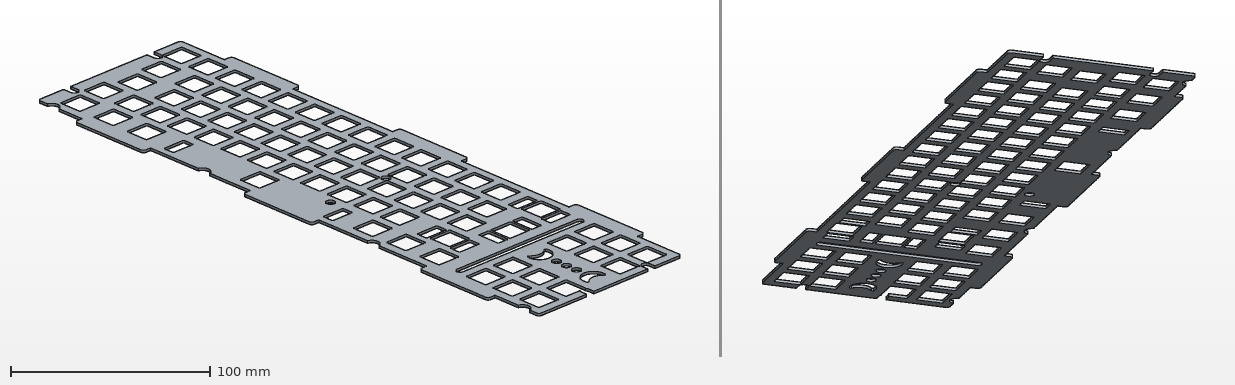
import cadquery as cq

plate_length = 358.5
plate_width = 100.5
plate_thickness = 1.5
corner_radius = 1.8
half_length = plate_length / 2
half_width = plate_width / 2

overall_width = 110.5
tab_length = 49.0
outer_tab_x = 123.5
middle_tab_x = -3.0

letter_block_length = 285.8
pitch = letter_block_length / 15
layout_units = 18.5
backspace_units = 14
enter_units = 14.375
right_shift_units = 13.625
space_bar_units = 7.5
pad_middle_units = 17
layout_x = 0.1
layout_y = 0.3
key_size = 14.0
key_corner_radius = 0.5

stabilizer_width = 6.8
stabilizer_drop = 1.0
short_key_spacing = 12.0
space_bar_spacing = 57.0

divider_units = 15.25
divider_width = 4.3
divider_length = 88.5

relief_diameter = 8.2
relief_depth = 3.2
outer_relief_x = 168.5
inner_relief_x = 60.5

edge_slot_width = 5.0
left_slot_depth = 7.5
right_slot_depth = 6.5
upper_slot_y = 29.0
lower_left_slot_y = -29.8
lower_right_slot_y = -14.0

hole_diameter = 5.0
screw_holes = [(9.7, 9.0), (10.8, -31.2)]
pad_hole_spacing = 7.0

crescent_tip_offset = 21.5
crescent_outer_height = 6.5
crescent_inner_height = 5.5
crescent_inner_offset = 19.0
crescent_outer_offset = 12.5


def unit_x(units):
    """X of a place given in key units from the left end of the layout."""
    return layout_x + (units - layout_units / 2) * pitch


def row_y(rows_up):
    """Y of a place given in key rows above the middle row."""
    return layout_y + rows_up * pitch


def run(first, count):
    """Key-unit places of a run of single-width keys."""
    return [first + step for step in range(count)]


def plate_at(points):
    return cq.Workplane("XY").pushPoints(points)


def block(length, width, radius):
    """Plate-thick block with rounded vertical edges, centered on the origin."""
    return cq.Workplane("XY").rect(length, width).extrude(plate_thickness).edges("|Z").fillet(radius)


def windows(length, width, points):
    """Identical rectangular windows with small rounded corners."""
    window = block(length, width, key_corner_radius).val()
    return plate_at(points).eachpoint(lambda location: window.moved(location))


def round_cutters(diameter, points):
    return plate_at(points).circle(diameter / 2).extrude(plate_thickness)


def plate_blank():
    blank = block(plate_length, plate_width, corner_radius)
    tab_pair = block(tab_length, overall_width, corner_radius)
    for x in (-outer_tab_x, middle_tab_x, outer_tab_x):
        blank = blank.union(tab_pair.translate((x, 0, 0)))
    return blank


def key_windows():
    pad = run(pad_middle_units - 1, 3)
    rows = {
        2: run(0.5, 13) + [backspace_units] + pad,
        1: [0.75] + run(2, 12) + pad,
        0.5: [enter_units],
        0: [0.875] + run(2.25, 12),
        -1: [0.625] + run(1.75, 11) + [right_shift_units] + pad,
        -2: [0.75, 2, 3.25, space_bar_units, 11.75, 13, 14.25] + pad,
    }
    centers = [(unit_x(units), row_y(row)) for row, places in rows.items() for units in places]
    return windows(key_size, key_size, centers)


def long_key_stabilizers():
    """Upright windows to the left and right of the long keys."""
    long_keys = [
        (backspace_units, 2, short_key_spacing),
        (right_shift_units, -1, short_key_spacing),
        (space_bar_units, -2, space_bar_spacing),
    ]
    centers = [
        (unit_x(units) + side * spacing, row_y(row) - stabilizer_drop)
        for units, row, spacing in long_keys
        for side in (-1, 1)
    ]
    return windows(stabilizer_width, key_size, centers)


def enter_key_stabilizers():
    """Flat windows below and above the tall enter key."""
    centers = [(unit_x(enter_units), row_y(0.5) + side * short_key_spacing) for side in (-1, 1)]
    return windows(key_size, stabilizer_width, centers)


def divider_slot():
    center = (unit_x(divider_units), row_y(0))
    return plate_at([center]).slot2D(divider_length, divider_width, 90).extrude(plate_thickness)


def edge_reliefs():
    places = (-outer_relief_x, -inner_relief_x, inner_relief_x, outer_relief_x)
    y = relief_depth - relief_diameter / 2 - half_width
    return round_cutters(relief_diameter, [(x, y) for x in places])


def edge_slots(edge_x, depth, slot_ys):
    """Slots in one short edge, with their round ends inside the plate."""
    centers = [(edge_x, y) for y in slot_ys]
    return plate_at(centers).slot2D(2 * depth, edge_slot_width).extrude(plate_thickness)


def round_holes():
    pad_holes = [(unit_x(pad_middle_units) + step * pad_hole_spacing, row_y(0)) for step in (-1, 0, 1)]
    return round_cutters(hole_diameter, screw_holes + pad_holes)


def crescent(side):
    """Moon-shaped window with blunt tips, bulging toward the pad holes."""
    tip_x = side * crescent_tip_offset
    return (
        cq.Workplane("XY")
        .center(unit_x(pad_middle_units), row_y(0))
        .moveTo(tip_x, crescent_outer_height)
        .threePointArc((side * crescent_outer_offset, 0), (tip_x, -crescent_outer_height))
        .lineTo(tip_x, -crescent_inner_height)
        .threePointArc((side * crescent_inner_offset, 0), (tip_x, crescent_inner_height))
        .close()
        .extrude(plate_thickness)
    )


result = (
    plate_blank()
    .cut(key_windows())
    .cut(long_key_stabilizers())
    .cut(enter_key_stabilizers())
    .cut(divider_slot())
    .cut(edge_reliefs())
    .cut(edge_slots(-half_length, left_slot_depth, (upper_slot_y, lower_left_slot_y)))
    .cut(edge_slots(half_length, right_slot_depth, (upper_slot_y, lower_right_slot_y)))
    .cut(round_holes())
    .cut(crescent(-1))
    .cut(crescent(1))
)